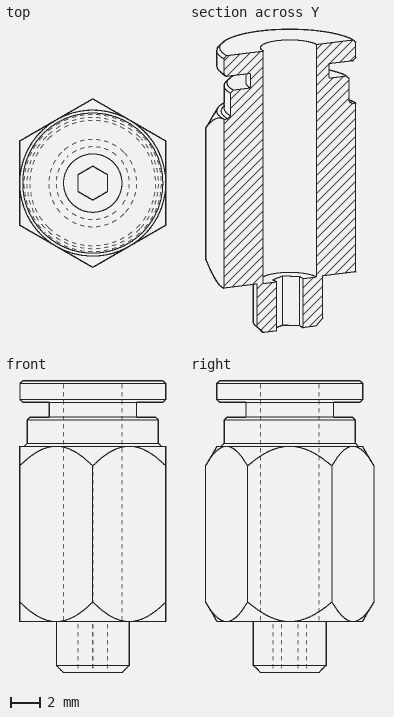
import cadquery as cq
import math

total_height = 20.0
hex_bottom = 3.5
hex_top = 15.5
collar_top = 17.5
flange_bottom = 18.5

stem_diameter = 5.0
hex_width = 10.0
collar_diameter = 9.0
neck_diameter = 6.0
flange_diameter = 10.0
bore_diameter = 4.0
key_width = 2.0

stem_chamfer = 0.5
collar_chamfer = 0.2
collar_flare = 0.2
flange_chamfer = 0.2
corner_angle = 60.0
corner_clearance = 0.2

bore_bottom = hex_bottom


def disc(diameter, bottom, top):
    """Round step between two heights."""
    return cq.Workplane("XY").workplane(offset=bottom).circle(diameter / 2).extrude(top - bottom)


def hex_prism(width, bottom, top):
    """Hexagonal prism with its corners on the Y axis."""
    corner_diameter = width / math.cos(math.radians(30))
    plane = cq.Workplane("XY").workplane(offset=bottom)
    return plane.polygon(6, corner_diameter).extrude(top - bottom).rotate((0, 0, 0), (0, 0, 1), 30)


def hex_body():
    """Hexagon with both ends turned down to a cone."""
    end_radius = hex_width / 2
    outer_radius = hex_width / math.sqrt(3) + corner_clearance
    drop = (outer_radius - end_radius) * math.tan(math.radians(corner_angle))
    turned_profile = [
        (0, hex_bottom),
        (end_radius, hex_bottom),
        (outer_radius, hex_bottom + drop),
        (outer_radius, hex_top - drop),
        (end_radius, hex_top),
        (0, hex_top),
    ]
    turned = cq.Workplane("XZ").polyline(turned_profile).close().revolve(360, (0, 0, 0), (0, 1, 0))
    return hex_prism(hex_width, hex_bottom, hex_top).intersect(turned)


stem = disc(stem_diameter, 0, hex_bottom).faces("<Z").chamfer(stem_chamfer)
collar = disc(collar_diameter, hex_top, collar_top).faces(">Z").chamfer(collar_chamfer)
flare_diameter = collar_diameter + 2 * collar_flare
flare_base = cq.Workplane("XY").workplane(offset=hex_top).circle(flare_diameter / 2)
flare = flare_base.extrude(collar_flare, taper=45)
neck = disc(neck_diameter, collar_top, flange_bottom)
flange = disc(flange_diameter, flange_bottom, total_height).faces("<Z or >Z").chamfer(flange_chamfer)

result = stem.union(hex_body()).union(flare).union(collar).union(neck).union(flange)
result = result.cut(disc(bore_diameter, bore_bottom, total_height))
result = result.cut(hex_prism(key_width, 0, bore_bottom))